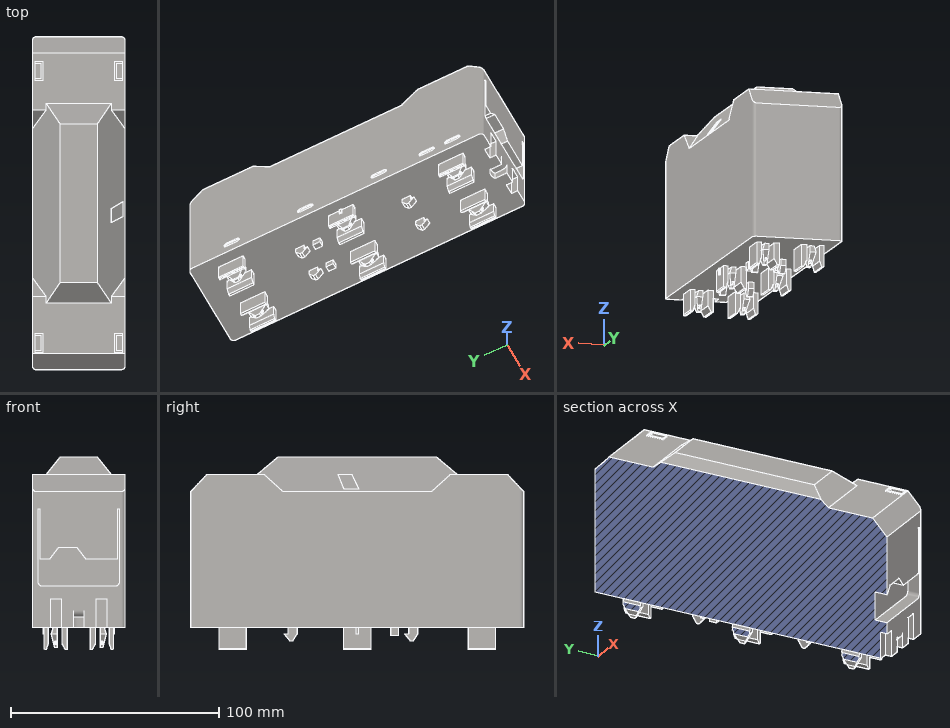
import cadquery as cq
import math

BODY_X = 44.6
BODY_Y = 160.0
BODY_Z = 73.6
HALF_X = BODY_X / 2
FRONT_Y = -BODY_Y / 2
CORNER_RADIUS = 2.0
BEVEL_DROP = 8.3
BEVEL_RUN = 7.8

HOOD_TOP_Z = 82.0
HOOD_EAVE_Z = BODY_Z - BEVEL_DROP
HOOD_TOP_X = 18.0
HOOD_TOP_Y = 76.2
HOOD_BASE_Y = 96.0
NOTCH_TOP_Y = 89.6
NOTCH_FLOOR_Y = 71.4
HOOD_MARK_DEPTH = 0.2
HOOD_MARK_X = (15.7, 21.3)
HOOD_MARK_Y = (-2.5, -9.3, -6.4, 0.8)

WINDOW_X = 3.8
WINDOW_Y = 9.1
WINDOW_OUTER_X = 21.0
WINDOW_CENTRES_Y = (63.5, -67.2)
WINDOW_LEDGE = 1.0
WINDOW_LEDGE_DEPTH = 0.5
WINDOW_DEPTH = 1.6

RECESS_X = 39.2
RECESS_BOTTOM_Z = 19.8
RECESS_TOP_Z = 57.0
RECESS_DEPTH = 6.4
RECESS_RADIUS = 2.2
DOOR_X = 37.1
DOOR_BOTTOM_Z = 33.0
GRIP_Z = 38.4
GRIP_BASE_X = (-14.0, 3.4)
GRIP_TOP_X = (-9.8, -0.8)

FRONT_NOTCH_X = 5.3
OUTER_NOTCH_Z = 13.8
OUTER_NOTCH_DEPTH = 3.4
OUTER_NOTCH_OFFSET = 11.0
LATCH_CEILING_Z = 5.1
LATCH_DEPTH = 7.4
LATCH_BACK_BULGE = 1.0
LATCH_LIP_RADIUS = 2.9

SIDE_SLOT_CENTRES_Y = (56.5, 16.5, -23.5, -49.6, -63.5)
SIDE_SLOT_LENGTH = 8.2
SIDE_SLOT_WIDTH = 3.0
SIDE_SLOT_Z = 7.4
SIDE_SLOT_DEPTH = 0.6

LEG_Z = 10.5
LEG_Y = 13.3
LEG_CENTRES_Y = (-59.8, 0.0, 59.8)
OUTER_LEG_X = (14.5, 16.8)
INNER_LEG_X = (5.5, 8.2)
LEG_BEVEL_Z = 2.9
OUTER_LEG_BEVEL_X = 1.0
OUTER_LEG_TOE = 0.5
INNER_LEG_BEVEL_X = 1.6
CONTACT_INNER_X = 10.2
CONTACT_ROOT_X = 12.3
CONTACT_BULGE_X = 13.3
CONTACT_TIP_X = 11.7
CONTACT_BULGE_Z = 3.0
CONTACT_Z = 9.6
CONTACT_Y = 9.6
CONTACT_TIP_Y = 2.4
CONTACT_HOLE_X = 11.2
CONTACT_HOLE_SIZE = (0.6, 1.5)
CONTACT_HOLE_Z = 7.4
HOOK_CENTRES_Y = (26.9, -31.0)
HOOK_SHANK_Y = 4.5
HOOK_BARB_Y = 2.0
HOOK_BARB_Z = 3.0
HOOK_TIP_Y = 1.3
HOOK_Z = 6.5
PEG_Y = 3.8
PEG_CENTRE_Y = 18.0
PEG_Z = 3.8
PIN_Y = 1.3
PIN_PROJECTION = 0.5
PIN_Z = 3.2
ROOT = 0.8


def block(x_range, y_range, z_range):
    """Box between the given limits."""
    sizes = [high - low for low, high in (x_range, y_range, z_range)]
    corner = (x_range[0], y_range[0], z_range[0])
    return cq.Workplane("XY").box(*sizes, centered=False).translate(corner)


def prism_along_x(outline, x_range):
    """(Y, Z) outline extruded between two X positions."""
    length = x_range[1] - x_range[0]
    return cq.Workplane("YZ", origin=(x_range[0], 0, 0)).polyline(outline).close().extrude(length)


def prism_along_y(outline, y_range):
    """(X, Z) outline extruded between two Y positions."""
    length = y_range[1] - y_range[0]
    return cq.Workplane("XZ", origin=(0, y_range[1], 0)).polyline(outline).close().extrude(length)


def mirrored_outline(half):
    """Close a right-hand half outline, given bottom to top, with its mirror image."""
    return half + [(-across, up) for across, up in reversed(half)]


def around(centre, size):
    """Limits of a span of the given size about its centre."""
    return (centre - size / 2, centre + size / 2)


def make_housing():
    full_x = (-HALF_X, HALF_X)
    side_outline = mirrored_outline([
        (BODY_Y / 2, 0),
        (BODY_Y / 2, BODY_Z - BEVEL_DROP),
        (BODY_Y / 2 - BEVEL_RUN, BODY_Z),
    ])
    rounded_plan = cq.Workplane("XY").rect(BODY_X, BODY_Y).extrude(BODY_Z).edges("|Z").fillet(CORNER_RADIUS)
    notch_outline = mirrored_outline([(NOTCH_FLOOR_Y / 2, HOOD_EAVE_Z), (NOTCH_TOP_Y / 2, BODY_Z)])
    notch = prism_along_x(notch_outline, full_x)
    return prism_along_x(side_outline, full_x).intersect(rounded_plan).cut(notch)


def make_hood():
    roof_outline = mirrored_outline([(HALF_X, HOOD_EAVE_Z), (HOOD_TOP_X / 2, HOOD_TOP_Z)])
    end_outline = mirrored_outline([
        (NOTCH_FLOOR_Y / 2, HOOD_EAVE_Z),
        (NOTCH_TOP_Y / 2, BODY_Z),
        (HOOD_BASE_Y / 2, BODY_Z),
        (HOOD_TOP_Y / 2, HOOD_TOP_Z),
    ])
    roof = prism_along_y(roof_outline, around(0, HOOD_BASE_Y))
    return roof.intersect(prism_along_x(end_outline, (-HALF_X, HALF_X)))


def make_hood_mark():
    """Four-sided shallow recess in the +X roof slope, cut square to that slope."""
    rise = HOOD_TOP_Z - HOOD_EAVE_Z
    run = HALF_X - HOOD_TOP_X / 2
    slope_length = math.hypot(rise, run)
    slope = cq.Plane(
        origin=(HALF_X, 0, HOOD_EAVE_Z), xDir=(0, 1, 0), normal=(rise / slope_length, 0, run / slope_length)
    )
    inner, outer = [(HALF_X - x) * slope_length / run for x in HOOD_MARK_X]
    corners = list(zip(HOOD_MARK_Y, (inner, inner, outer, outer)))
    return cq.Workplane(slope).polyline(corners).close().extrude(-HOOD_MARK_DEPTH)


def make_window(side, centre_y):
    ledge_x = sorted((side * WINDOW_OUTER_X, side * (WINDOW_OUTER_X - WINDOW_X)))
    opening_x = sorted((side * WINDOW_OUTER_X, side * (WINDOW_OUTER_X - WINDOW_X + WINDOW_LEDGE)))
    ledge = block(ledge_x, around(centre_y, WINDOW_Y), (BODY_Z - WINDOW_LEDGE_DEPTH, BODY_Z))
    opening = block(opening_x, around(centre_y, WINDOW_Y - 2 * WINDOW_LEDGE), (BODY_Z - WINDOW_DEPTH, BODY_Z))
    return ledge.union(opening)


def make_door_recess():
    """Recess volume with the flush door left standing in it."""
    depth_range = (FRONT_Y, FRONT_Y + RECESS_DEPTH)
    recess = block(around(0, RECESS_X), depth_range, (RECESS_BOTTOM_Z, RECESS_TOP_Z))
    recess = recess.edges("|Y and <Z").fillet(RECESS_RADIUS)
    door_outline = [
        (-DOOR_X / 2, RECESS_TOP_Z),
        (-DOOR_X / 2, DOOR_BOTTOM_Z),
        (GRIP_BASE_X[0], DOOR_BOTTOM_Z),
        (GRIP_TOP_X[0], GRIP_Z),
        (GRIP_TOP_X[1], GRIP_Z),
        (GRIP_BASE_X[1], DOOR_BOTTOM_Z),
        (DOOR_X / 2, DOOR_BOTTOM_Z),
        (DOOR_X / 2, RECESS_TOP_Z),
    ]
    return recess.cut(prism_along_y(door_outline, depth_range))


def make_outer_notch(centre_x):
    y_range = (FRONT_Y, FRONT_Y + OUTER_NOTCH_DEPTH)
    return block(around(centre_x, FRONT_NOTCH_X), y_range, (0, OUTER_NOTCH_Z))


def make_latch_notch():
    """Notch with a hollow back wall, whose front upper edge is rounded over."""
    half_width = FRONT_NOTCH_X / 2
    back_y = FRONT_Y + LATCH_DEPTH
    notch = (
        cq.Workplane("XY")
        .moveTo(-half_width, FRONT_Y)
        .lineTo(half_width, FRONT_Y)
        .lineTo(half_width, back_y - LATCH_BACK_BULGE)
        .threePointArc((0, back_y), (-half_width, back_y - LATCH_BACK_BULGE))
        .close()
        .extrude(LATCH_CEILING_Z)
    )
    lip_y = (FRONT_Y, FRONT_Y + LATCH_LIP_RADIUS)
    lip = block(around(0, FRONT_NOTCH_X), lip_y, (LATCH_CEILING_Z, LATCH_CEILING_Z + LATCH_LIP_RADIUS))
    lip_round = (
        cq.Workplane("YZ", origin=(-half_width, 0, 0))
        .center(FRONT_Y + LATCH_LIP_RADIUS, LATCH_CEILING_Z + LATCH_LIP_RADIUS)
        .circle(LATCH_LIP_RADIUS)
        .extrude(FRONT_NOTCH_X)
    )
    return notch.union(lip.cut(lip_round))


def make_side_slots():
    return (
        cq.Workplane("YZ", origin=(-HALF_X, 0, 0))
        .pushPoints([(y, SIDE_SLOT_Z) for y in SIDE_SLOT_CENTRES_Y])
        .slot2D(SIDE_SLOT_LENGTH, SIDE_SLOT_WIDTH)
        .extrude(SIDE_SLOT_DEPTH)
    )


def make_legs(centre_y):
    """Outer and inner leg of the +X half, bevelled on the sides that face each other."""
    outer_near, outer_far = OUTER_LEG_X
    outer_outline = [
        (outer_far, ROOT),
        (outer_far, OUTER_LEG_TOE - LEG_Z),
        (outer_far - OUTER_LEG_TOE, -LEG_Z),
        (outer_near + OUTER_LEG_BEVEL_X, -LEG_Z),
        (outer_near, LEG_BEVEL_Z - LEG_Z),
        (outer_near, ROOT),
    ]
    inner_near, inner_far = INNER_LEG_X
    inner_outline = [
        (inner_near, ROOT),
        (inner_near, -LEG_Z),
        (inner_far - INNER_LEG_BEVEL_X, -LEG_Z),
        (inner_far, LEG_BEVEL_Z - LEG_Z),
        (inner_far, ROOT),
    ]
    y_range = around(centre_y, LEG_Y)
    return prism_along_y(outer_outline, y_range).union(prism_along_y(inner_outline, y_range))


def make_contact(centre_y):
    """Bulged, pierced blade between the two legs, tapering to its tip in both directions."""
    blade_outline = [
        (CONTACT_INNER_X, ROOT),
        (CONTACT_INNER_X, -CONTACT_Z),
        (CONTACT_TIP_X, -CONTACT_Z),
        (CONTACT_BULGE_X, -CONTACT_BULGE_Z),
        (CONTACT_ROOT_X, 0),
        (CONTACT_ROOT_X, ROOT),
    ]
    taper_outline = mirrored_outline([
        (CONTACT_TIP_Y / 2, -CONTACT_Z),
        (CONTACT_Y / 2, -CONTACT_BULGE_Z),
        (CONTACT_Y / 2, ROOT),
    ])
    taper = prism_along_x(taper_outline, (0, HALF_X)).translate((0, centre_y, 0))
    hole_x, hole_z = CONTACT_HOLE_SIZE
    y_range = around(centre_y, CONTACT_Y)
    hole = block(around(CONTACT_HOLE_X, hole_x), y_range, around(-CONTACT_HOLE_Z, hole_z))
    return prism_along_y(blade_outline, y_range).intersect(taper).cut(hole)


def make_hook(centre_y):
    """Snap hook with its barb toward -Y."""
    back = HOOK_SHANK_Y / 2
    outline = [
        (back, ROOT),
        (back, -HOOK_BARB_Z),
        (0, -HOOK_Z),
        (-HOOK_TIP_Y, -HOOK_Z),
        (-back - HOOK_BARB_Y, -HOOK_BARB_Z),
        (-back, -HOOK_BARB_Z),
        (-back, ROOT),
    ]
    return prism_along_x(outline, INNER_LEG_X).translate((0, centre_y, 0))


def make_peg():
    return block(INNER_LEG_X, around(PEG_CENTRE_Y, PEG_Y), (-PEG_Z, ROOT))


def make_pin():
    """Thin rib on the outer face of the middle outer leg."""
    leg_face = OUTER_LEG_X[1]
    return block((leg_face, leg_face + PIN_PROJECTION), around(0, PIN_Y), (-PIN_Z, ROOT))


result = make_housing().union(make_hood())
result = result.cut(make_hood_mark()).cut(make_door_recess())
result = result.cut(make_latch_notch()).cut(make_side_slots())
for side in (-1, 1):
    result = result.cut(make_outer_notch(side * OUTER_NOTCH_OFFSET))
    for window_y in WINDOW_CENTRES_Y:
        result = result.cut(make_window(side, window_y))

fittings = [make_peg(), make_pin()]
fittings += [make_hook(y) for y in HOOK_CENTRES_Y]
for leg_y in LEG_CENTRES_Y:
    fittings += [make_legs(leg_y), make_contact(leg_y)]
for fitting in fittings:
    result = result.union(fitting).union(fitting.mirror("YZ"))